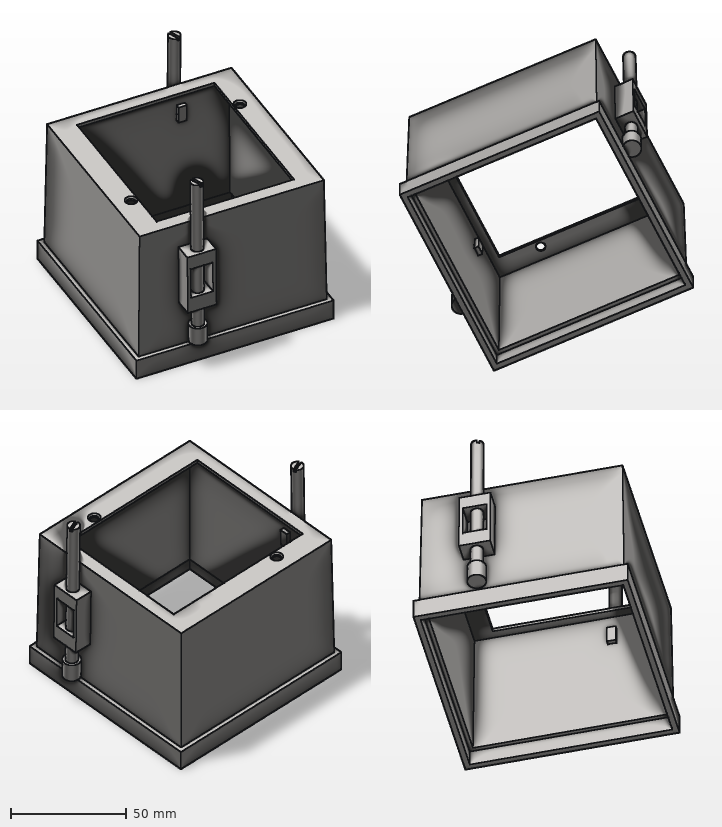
import cadquery as cq
import math

FLANGE_WIDTH = 96.0
FLANGE_HEIGHT = 10.0
HOUSING_HEIGHT = 75.0
BODY_BASE_WIDTH = 91.6
BODY_TOP_WIDTH = 89.8
BODY_HEIGHT = HOUSING_HEIGHT - FLANGE_HEIGHT
DRAFT_SLOPE = (BODY_BASE_WIDTH - BODY_TOP_WIDTH) / 2 / BODY_HEIGHT
DRAFT_ANGLE = math.degrees(math.atan(DRAFT_SLOPE))

WALL = 2.4
WALL_THICKNESS = WALL * math.cos(math.radians(DRAFT_ANGLE))
TOP_PLATE = 1.7
WINDOW_X = 77.2
WINDOW_Y = 66.9
RECESS_WIDTH = 90.7
RECESS_DEPTH = 8.0

PLATE_HOLE_X = 20.1
PLATE_HOLE_Y = 36.5
PLATE_HOLE_DIAMETER = 4.1
COUNTERSINK_DIAMETER = 5.6
COUNTERSINK_ANGLE = 90

CLAMP_Y = 19.1
CLAMP_TURNS = (0, 180)
BRACKET_WIDTH = 14.0
BRACKET_DEPTH = 8.7
BRACKET_HEIGHT = 30.2
BRACKET_BOTTOM = 22.7
OPENING_WIDTH = 10.7
OPENING_HEIGHT = 15.6
OPENING_BOTTOM = 30.4

HOOK_WIDTH = 4.0
HOOK_THICKNESS = 2.0
HOOK_NECK_HEIGHT = 3.3
HOOK_BOTTOM = 47.2
HOOK_TOP = 55.5

SCREW_DIAMETER = 5.6
SCREW_OFFSET = 4.3
SCREW_TOP = 88.9
SLOT_WIDTH = 1.2
SLOT_DEPTH = 1.3
SLOT_ANGLE = 22
CAP_DIAMETER = 8.2
CAP_HEIGHT = 9.1
CAP_BOTTOM = 2.9
CAP_TOP = CAP_BOTTOM + CAP_HEIGHT


def box_between(x_range, width, z_range):
    """Box centred on Y = 0 between two X and two Z limits."""
    x_low, x_high = x_range
    z_low, z_high = z_range
    return (
        cq.Workplane("XY", origin=((x_low + x_high) / 2, 0, z_low))
        .rect(x_high - x_low, width)
        .extrude(z_high - z_low)
    )


def place_on_wall(body, turn):
    """Lean a clamp body onto the drafted -X wall, then turn it about Z to its side."""
    return (
        body.rotate((0, 0, 0), (0, 1, 0), DRAFT_ANGLE)
        .translate((-BODY_BASE_WIDTH / 2, CLAMP_Y, FLANGE_HEIGHT))
        .rotate((0, 0, 0), (0, 0, 1), turn)
    )


def make_hook_neck():
    """Part of the hook that fills the slot through the wall."""
    neck_top = HOOK_BOTTOM + HOOK_NECK_HEIGHT
    return box_between((0, WALL_THICKNESS), HOOK_WIDTH, (HOOK_BOTTOM, neck_top))


def make_housing():
    flange = cq.Workplane("XY").rect(FLANGE_WIDTH, FLANGE_WIDTH).extrude(FLANGE_HEIGHT)
    body = (
        cq.Workplane("XY", origin=(0, 0, FLANGE_HEIGHT))
        .rect(BODY_BASE_WIDTH, BODY_BASE_WIDTH)
        .extrude(BODY_HEIGHT, taper=DRAFT_ANGLE)
    )
    cavity_height = HOUSING_HEIGHT - TOP_PLATE - RECESS_DEPTH
    cavity_base = BODY_BASE_WIDTH - 2 * WALL + 2 * (FLANGE_HEIGHT - RECESS_DEPTH) * DRAFT_SLOPE
    cavity = (
        cq.Workplane("XY", origin=(0, 0, RECESS_DEPTH))
        .rect(cavity_base, cavity_base)
        .extrude(cavity_height, taper=DRAFT_ANGLE)
    )
    recess = cq.Workplane("XY").rect(RECESS_WIDTH, RECESS_WIDTH).extrude(RECESS_DEPTH)
    window = cq.Workplane("XY").rect(WINDOW_X, WINDOW_Y).extrude(HOUSING_HEIGHT)
    housing = flange.union(body).cut(cavity).cut(recess).cut(window)

    housing = (
        housing.faces(">Z")
        .workplane(origin=(0, 0, HOUSING_HEIGHT))
        .pushPoints([(-PLATE_HOLE_X, PLATE_HOLE_Y), (PLATE_HOLE_X, -PLATE_HOLE_Y)])
        .cskHole(PLATE_HOLE_DIAMETER, COUNTERSINK_DIAMETER, COUNTERSINK_ANGLE, depth=TOP_PLATE)
    )
    for turn in CLAMP_TURNS:
        housing = housing.cut(place_on_wall(make_hook_neck(), turn))
    return housing


def make_bracket():
    bracket_top = BRACKET_BOTTOM + BRACKET_HEIGHT
    block = box_between((-BRACKET_DEPTH, 0), BRACKET_WIDTH, (BRACKET_BOTTOM, bracket_top))
    opening_top = OPENING_BOTTOM + OPENING_HEIGHT
    opening = box_between((-BRACKET_DEPTH, 0), OPENING_WIDTH, (OPENING_BOTTOM, opening_top))
    screw_hole = (
        cq.Workplane("XY", origin=(-SCREW_OFFSET, 0, BRACKET_BOTTOM))
        .circle(SCREW_DIAMETER / 2)
        .extrude(BRACKET_HEIGHT)
    )
    neck = make_hook_neck()
    hook = box_between((WALL_THICKNESS, WALL_THICKNESS + HOOK_THICKNESS), HOOK_WIDTH, (HOOK_BOTTOM, HOOK_TOP))
    return block.cut(opening).cut(screw_hole).union(neck).union(hook)


def make_screw():
    shank = (
        cq.Workplane("XY", origin=(-SCREW_OFFSET, 0, CAP_TOP))
        .circle(SCREW_DIAMETER / 2)
        .extrude(SCREW_TOP - CAP_TOP)
    )
    slot = (
        cq.Workplane("XY", origin=(-SCREW_OFFSET, 0, SCREW_TOP - SLOT_DEPTH))
        .transformed(rotate=(0, 0, SLOT_ANGLE))
        .rect(2 * SCREW_DIAMETER, SLOT_WIDTH)
        .extrude(SLOT_DEPTH)
    )
    return shank.cut(slot)


def make_cap():
    return (
        cq.Workplane("XY", origin=(-SCREW_OFFSET, 0, CAP_BOTTOM))
        .circle(CAP_DIAMETER / 2)
        .extrude(CAP_HEIGHT)
    )


housing = make_housing()
brackets = [place_on_wall(make_bracket(), turn) for turn in CLAMP_TURNS]
screws = [place_on_wall(make_screw(), turn) for turn in CLAMP_TURNS]
caps = [place_on_wall(make_cap(), turn) for turn in CLAMP_TURNS]

clamp_bodies = brackets + screws + caps
result = cq.Compound.makeCompound([housing.val(), *[body.val() for body in clamp_bodies]])